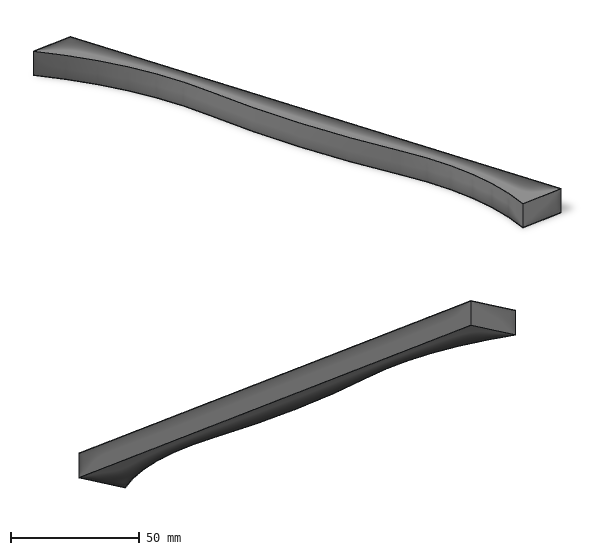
import cadquery as cq
import math

length = 256.25
width = 27.05
thickness = 10.0

back_slope = math.radians(1.18)

left_joint = (80.4, 13.8)
right_joint = (181.5, 15.58)
right_corner = (length, 4.5)
start_angle = math.radians(25.35)

right_back_corner = (length - (width - right_corner[1]) * math.tan(back_slope), width)
left_back_corner = (0.0, width - right_back_corner[0] * math.tan(back_slope))
left_corner = (left_back_corner[1] * math.tan(back_slope), 0.0)


def arc_midpoint(start, end, direction):
    """Middle of the arc from start to end that leaves start in the given direction."""
    run = end[0] - start[0]
    rise = end[1] - start[1]
    half_turn = math.atan2(rise, run) - direction
    bulge = math.tan(half_turn / 2) / 2
    return (
        (start[0] + end[0]) / 2 + bulge * rise,
        (start[1] + end[1]) / 2 - bulge * run,
    )


def end_direction(start, end, direction):
    """Direction in which that same arc arrives at its end."""
    chord_direction = math.atan2(end[1] - start[1], end[0] - start[0])
    return 2 * chord_direction - direction


def bar_outline():
    """Three tangent arcs along the front, then the straight ends and back."""
    outline = cq.Workplane("XY").moveTo(*left_corner)
    start = left_corner
    direction = start_angle
    for end in (left_joint, right_joint, right_corner):
        outline = outline.threePointArc(arc_midpoint(start, end, direction), end)
        direction = end_direction(start, end, direction)
        start = end
    return outline.lineTo(*right_back_corner).lineTo(*left_back_corner).close()


result = bar_outline().extrude(thickness)